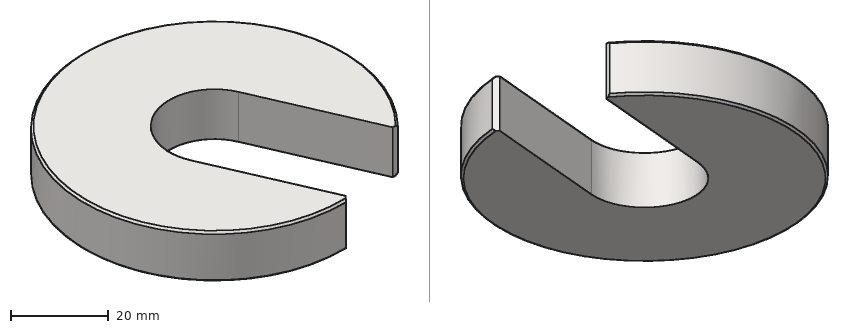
import cadquery as cq

disc_diameter = 75.0
thickness = 12.5
slot_width = 26.0
rim_chamfer = 0.5
mouth_start_x = 34.0
mouth_flare_slope = 2.0

disc_radius = disc_diameter / 2
slot_radius = slot_width / 2

disc = cq.Workplane("XY").circle(disc_radius).extrude(thickness)
disc = disc.faces("<Z or >Z").edges().chamfer(rim_chamfer)

mouth_half_width = slot_radius + mouth_flare_slope * (disc_radius - mouth_start_x)
slot = (
    cq.Workplane("XY")
    .moveTo(0, -slot_radius)
    .lineTo(mouth_start_x, -slot_radius)
    .lineTo(disc_radius, -mouth_half_width)
    .lineTo(disc_radius, mouth_half_width)
    .lineTo(mouth_start_x, slot_radius)
    .lineTo(0, slot_radius)
    .threePointArc((-slot_radius, 0), (0, -slot_radius))
    .close()
    .extrude(thickness)
)

result = disc.cut(slot)